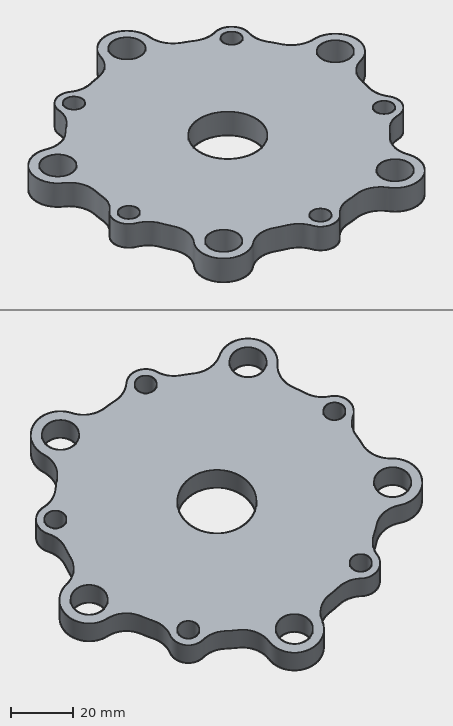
import cadquery as cq

thickness = 9.6
body_radius = 52.2
bore_diameter = 25.5
blend_radius = 10.0

lobe_count = 5
lobe_step = 360 / lobe_count

large_pitch_radius = 57.1
large_lobe_radius = 9.6
large_hole_diameter = 12.0
large_start_angle = 90

small_pitch_radius = 52.5
small_lobe_radius = 6.3
small_hole_diameter = 7.2
small_start_angle = large_start_angle + lobe_step / 2


def ring_of_cylinders(pitch_radius, start_angle, radius):
    """Plate-thick cylinders evenly spaced around the plate axis."""
    return (
        cq.Workplane("XY")
        .polarArray(pitch_radius, start_angle, 360, lobe_count)
        .circle(radius)
        .extrude(thickness)
    )


body = cq.Workplane("XY").circle(body_radius).extrude(thickness)
body = body.union(ring_of_cylinders(large_pitch_radius, large_start_angle, large_lobe_radius))
body = body.union(ring_of_cylinders(small_pitch_radius, small_start_angle, small_lobe_radius))
body = body.edges("|Z").fillet(blend_radius)

bore = cq.Workplane("XY").circle(bore_diameter / 2).extrude(thickness)
large_holes = ring_of_cylinders(large_pitch_radius, large_start_angle, large_hole_diameter / 2)
small_holes = ring_of_cylinders(small_pitch_radius, small_start_angle, small_hole_diameter / 2)

result = body.cut(bore).cut(large_holes).cut(small_holes)